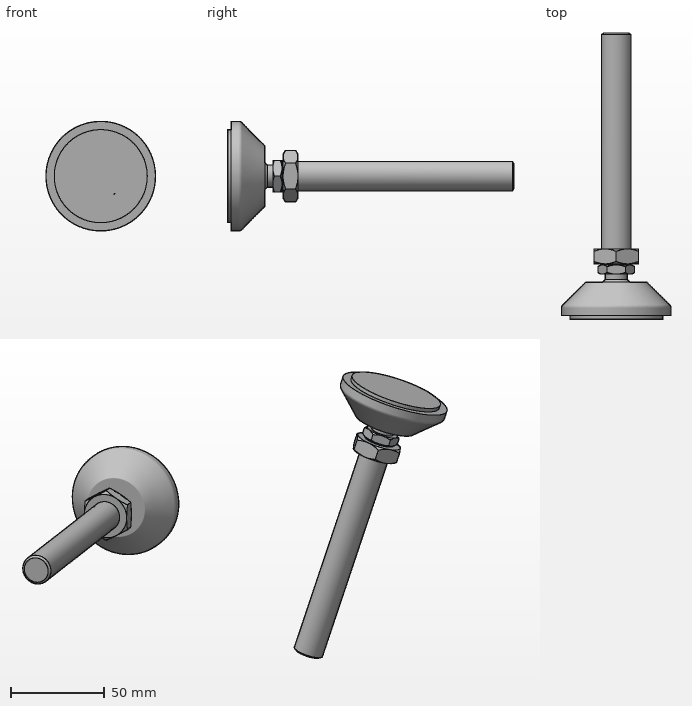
import cadquery as cq
import math

total_length = 153.9

foot_diameter = 59.0
sole_diameter = 50.0
sole_height = 2.0
foot_top_diameter = 32.8
foot_top_edge_fillet = 0.5
foot_height = 20.0
cone_start_height = 7.1
rim_fillet = 1.8

neck_diameter = 12.0
neck_flare = 1.4
neck_length = 4.3
collar_across_flats = 17.1
collar_height = 5.0
relief_diameter = 15.4
relief_height = 0.6
rod_diameter = 16.0
rod_chamfer_length = 1.0
rod_chamfer_depth = 1.2

nut_across_flats = 24.0
nut_height = 8.0

hexagon_chamfer_angle = 35.0

collar_start = foot_height + neck_length
relief_start = collar_start + collar_height
nut_start = relief_start + relief_height


def revolve_profile(points):
    """Turn a half profile of (radius, height) points about the Y axis."""
    return cq.Workplane("XY").polyline(points).close().revolve(360, (0, 0), (0, 1))


def chamfered_hexagon(across_flats, start, height, turn):
    """Hexagonal prism along Y whose corners are turned off conically at both ends.

    With turn = 0 two corners lie on the X axis.
    """
    corner_radius = across_flats / math.sqrt(3)
    flat_radius = across_flats / 2
    chamfer_height = (corner_radius - flat_radius) * math.tan(math.radians(hexagon_chamfer_angle))
    prism = (
        cq.Workplane("XZ", origin=(0, start, 0))
        .polygon(6, 2 * corner_radius)
        .extrude(-height)
        .rotate((0, 0, 0), (0, 1, 0), turn)
    )
    envelope = revolve_profile([
        (0, start),
        (flat_radius, start),
        (corner_radius, start + chamfer_height),
        (corner_radius, start + height - chamfer_height),
        (flat_radius, start + height),
        (0, start + height),
    ])
    return prism.intersect(envelope)


def make_foot():
    """Conical foot with a rounded rim and a stepped round sole."""
    sole_radius = sole_diameter / 2
    rim_radius = foot_diameter / 2
    blank = revolve_profile([
        (0, 0),
        (sole_radius, 0),
        (sole_radius, sole_height),
        (rim_radius, sole_height),
        (rim_radius, cone_start_height),
        (foot_top_diameter / 2, foot_height),
        (0, foot_height),
    ])
    rim_edge = cq.selectors.NearestToPointSelector((0, cone_start_height, 0))
    rounded = blank.edges(rim_edge).fillet(rim_fillet)
    return rounded.faces(">Y").edges().fillet(foot_top_edge_fillet)


def make_spindle():
    """Flared neck, hexagon collar, relief groove and chamfered rod in one piece."""
    neck_radius = neck_diameter / 2
    relief_radius = relief_diameter / 2
    rod_radius = rod_diameter / 2
    turned = revolve_profile([
        (0, foot_height),
        (neck_radius + neck_flare, foot_height),
        (neck_radius, foot_height + neck_flare),
        (neck_radius, collar_start),
        (relief_radius, collar_start),
        (relief_radius, nut_start),
        (rod_radius, nut_start),
        (rod_radius, total_length - rod_chamfer_length),
        (rod_radius - rod_chamfer_depth, total_length),
        (0, total_length),
    ])
    collar = chamfered_hexagon(collar_across_flats, collar_start, collar_height, turn=0)
    return turned.union(collar)


def make_nut():
    """Hexagon lock nut bored to fit the rod, with two corners on the Z axis."""
    bore = (
        cq.Workplane("XZ", origin=(0, nut_start, 0))
        .circle(rod_diameter / 2)
        .extrude(-nut_height)
    )
    return chamfered_hexagon(nut_across_flats, nut_start, nut_height, turn=30).cut(bore)


foot = make_foot()
spindle = make_spindle()
nut = make_nut()

result = cq.Compound.makeCompound([foot.val(), spindle.val(), nut.val()])